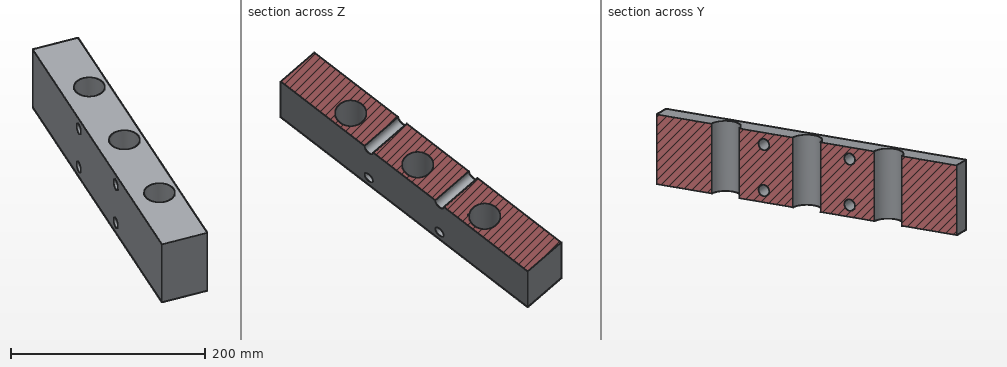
import cadquery as cq

length = 350.0
depth = 50.8
height = 76.3

bore_diameter = 32.0
bore_spacing = 95.0
bore_count = 3
bore_offset_y = 5.0

hole_diameter = 12.0
hole_spacing = 50.0
hole_span_x = 2 * hole_spacing

block = cq.Workplane("XY").box(length, depth, height)

bores = (
    cq.Workplane("XY")
    .center(0, bore_offset_y)
    .rarray(bore_spacing, 3.5, bore_count, 1)
    .circle(bore_diameter / 2)
    .extrude(height / 2, both=True)
)

cross_holes = (
    cq.Workplane("XZ")
    .rarray(hole_span_x, hole_spacing, 2, 2)
    .circle(hole_diameter / 2)
    .extrude(depth / 2, both=True)
)

result = block.cut(bores).cut(cross_holes)